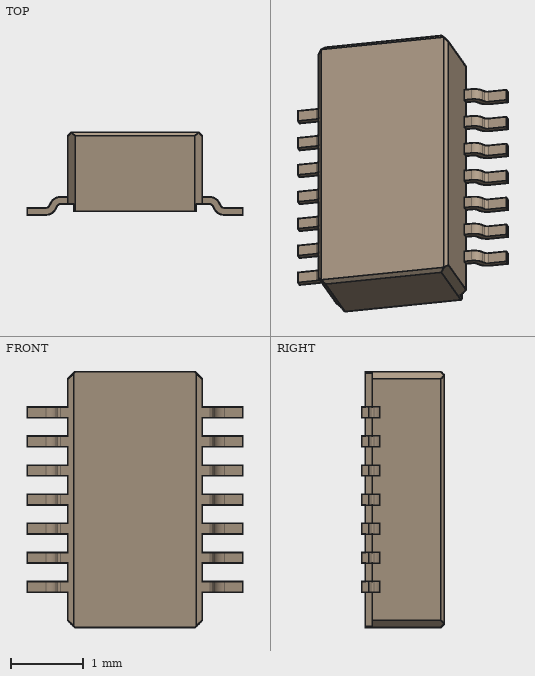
import cadquery as cq
import math


body_width = 1.85
body_length = 3.52
body_height = 1.09
standoff = 0.05
corner_chamfer = 0.10
rim_chamfer = 0.05
step_inset = 0.08
step_height = 0.10

leads_per_side = 7
lead_pitch = 0.40
lead_width = 0.15
lead_thickness = 0.10
lead_span = 2.97
foot_length = 0.26
bend_angle = 62
inner_radius = 0.05

outer_radius = inner_radius + lead_thickness
lead_underside = standoff + step_height


def make_body():
    """Block with chamfered corners and rim, stepped in along both sides."""
    block = (
        cq.Workplane("XY")
        .box(body_width, body_height, body_length)
        .translate((0, standoff + body_height / 2, 0))
    )
    rim_chamfered = block.faces(">Y").chamfer(rim_chamfer)
    body = block.edges("|Y").chamfer(corner_chamfer).intersect(rim_chamfered)
    for side in (-1, 1):
        step = (
            cq.Workplane("XY")
            .box(2 * step_inset, 2 * step_height, body_length)
            .translate((side * body_width / 2, standoff, 0))
        )
        body = body.cut(step)
    return body


def point_on_bend(center, radius, degrees):
    """Point at the given angle on a bend arc."""
    angle = math.radians(degrees)
    return (
        center[0] + radius * math.cos(angle),
        center[1] + radius * math.sin(angle),
    )


def make_lead():
    """Gull-wing lead on the +X side, centred on Z = 0."""
    tip_x = lead_span / 2
    root_x = body_width / 2 - step_inset
    lead_top = lead_underside + lead_thickness

    bend = math.radians(bend_angle)
    bend_drop = (inner_radius + outer_radius) * (1 - math.cos(bend))
    bend_run = (inner_radius + outer_radius) * math.sin(bend)
    slope_run = (lead_underside - bend_drop) / math.tan(bend)

    lower = (tip_x - foot_length, outer_radius)
    upper = (lower[0] - bend_run - slope_run, lead_top - outer_radius)

    upper_start = 90
    upper_end = upper_start - bend_angle
    upper_mid = (upper_start + upper_end) / 2
    lower_end = 270
    lower_start = lower_end - bend_angle
    lower_mid = (lower_start + lower_end) / 2

    return (
        cq.Workplane("XY")
        .workplane(offset=-lead_width / 2)
        .moveTo(root_x, lead_top)
        .lineTo(upper[0], lead_top)
        .threePointArc(
            point_on_bend(upper, outer_radius, upper_mid),
            point_on_bend(upper, outer_radius, upper_end),
        )
        .lineTo(*point_on_bend(lower, inner_radius, lower_start))
        .threePointArc(
            point_on_bend(lower, inner_radius, lower_mid),
            point_on_bend(lower, inner_radius, lower_end),
        )
        .lineTo(tip_x, lead_thickness)
        .lineTo(tip_x, 0)
        .lineTo(lower[0], 0)
        .threePointArc(
            point_on_bend(lower, outer_radius, lower_mid),
            point_on_bend(lower, outer_radius, lower_start),
        )
        .lineTo(*point_on_bend(upper, inner_radius, upper_end))
        .threePointArc(
            point_on_bend(upper, inner_radius, upper_mid),
            point_on_bend(upper, inner_radius, upper_start),
        )
        .lineTo(root_x, lead_underside)
        .close()
        .extrude(lead_width)
    )


def add_leads(body):
    """Join a row of leads to each side of the body."""
    right_lead = make_lead()
    left_lead = right_lead.mirror("YZ")
    for index in range(leads_per_side):
        z = (index - (leads_per_side - 1) / 2) * lead_pitch
        body = body.union(right_lead.translate((0, 0, z)))
        body = body.union(left_lead.translate((0, 0, z)))
    return body


result = add_leads(make_body())